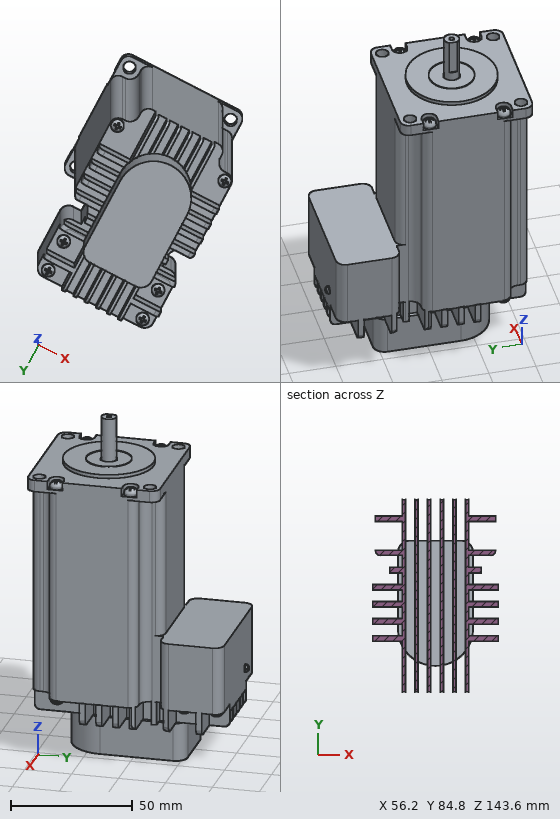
import cadquery as cq
import math

frame = 56.2
half_frame = frame / 2

cup_top = 16.6
vent_top = 23.2
cover_top = 26.7
connector_top = 56.1
total_height = 143.6
shaft_reach = 20.0
flange_thickness = 5.0
flange_top = total_height - shaft_reach
flange_bottom = flange_top - flange_thickness

flange_corner_radius = 3.6
mount_hole_pitch = 47.14
mount_hole_dia = 5.2
pilot_dia = 38.1
pilot_height = 1.6
pilot_recess_dia = 19.0
pilot_recess_depth = 0.3
shaft_bore_dia = 7.0
shaft_bore_depth = 1.0

shaft_dia = 6.35
shaft_flat_length = 15.0
shaft_flat_depth = 0.5
centre_hole_dia = 2.0
centre_hole_depth = 5.0

face_half_width = 15.3
shoulder_radius = 3.6
shoulder_x = face_half_width + shoulder_radius
shoulder_end = half_frame - shoulder_radius
notch_radius = 4.3
notch_centre = shoulder_x + notch_radius

connector_width = 53.4
connector_back = 55.0
connector_corner_radius = 4.0

cover_half_width = 27.8
cover_edge_radius = 2.4
long_fin_count = 6
long_fin_pitch = 5.22
long_fin_thickness = 1.4
outer_fin_x = (long_fin_count - 1) / 2 * long_fin_pitch
roof_half_width = outer_fin_x + long_fin_thickness / 2
side_fin_first_y = -4.2
side_fin_pitch = 7.05
side_fin_thickness = 2.4
side_fin_slots = (0, 1, 2, 3, 4, 5, 7)

cup_radius = 15.55
cup_back = 36.2
cup_corner_radius = 5.0

cross_length_ratio = 1.1
cross_width_ratio = 0.25
cross_floor_ratio = 0.6
screw_x = 25.0
flange_screw_y = 15.8
flange_pocket_radius = 3.2
flange_pocket_depth = 3.5
flange_head_radius = 2.9
flange_head_height = 3.3
head_rim_height = 0.9
cover_head_radius = 2.7
cover_head_height = 2.5
connector_screw_x = 22.0
cover_screw_places = ((screw_x, -15.6), (connector_screw_x, 37.8), (connector_screw_x, 51.5))
ground_screw_x = -11.6
ground_screw_z = 33.2
ground_head_radius = 1.7
ground_head_height = 1.73
ground_rim_height = 0.4

overlap = 0.5


def block(x_range, y_range, z_range):
    """Box between two limits on every axis."""
    lengths = [high - low for low, high in (x_range, y_range, z_range)]
    corner = (x_range[0], y_range[0], z_range[0])
    return cq.Workplane("XY").box(*lengths, centered=False).translate(corner)


def cylinder(diameter, z_low, z_high):
    """Cylinder on the shaft axis."""
    return cq.Workplane("XY").workplane(offset=z_low).circle(diameter / 2).extrude(z_high - z_low)


def screw_head(radius, height, rim_height):
    """Domed screw head with a cross recess, seated on z = 0 and pointing up."""
    dome_height = height - rim_height
    dome_radius = (radius**2 + dome_height**2) / (2 * dome_height)
    half_angle = math.asin(radius / dome_radius) / 2
    middle = (dome_radius * math.sin(half_angle), height - dome_radius * (1 - math.cos(half_angle)))
    head = (
        cq.Workplane("XZ")
        .moveTo(0, -overlap)
        .lineTo(radius, -overlap)
        .lineTo(radius, rim_height)
        .threePointArc(middle, (0, height))
        .close()
        .revolve(360, (0, 0, 0), (0, 1, 0))
    )
    slot_length = cross_length_ratio * radius
    slot_width = cross_width_ratio * radius
    recess_bottom = cross_floor_ratio * height
    for length, width in ((slot_length, slot_width), (slot_width, slot_length)):
        head = head.cut(block((-length / 2, length / 2), (-width / 2, width / 2), (recess_bottom, height)))
    return head


def corner_notch():
    """Clearance at the +X +Y corner of the square body, running down through the cover."""
    diagonal = math.sqrt(0.5)
    shoulder_mid = shoulder_radius * diagonal
    notch_mid = notch_centre - notch_radius * diagonal
    return (
        cq.Workplane("XY")
        .workplane(offset=cup_top)
        .moveTo(face_half_width, half_frame)
        .threePointArc(
            (face_half_width + shoulder_mid, shoulder_end + shoulder_mid), (shoulder_x, shoulder_end)
        )
        .lineTo(shoulder_x, notch_centre)
        .threePointArc((notch_mid, notch_mid), (notch_centre, shoulder_x))
        .lineTo(shoulder_end, shoulder_x)
        .threePointArc(
            (shoulder_end + shoulder_mid, face_half_width + shoulder_mid), (half_frame, face_half_width)
        )
        .lineTo(half_frame, half_frame)
        .close()
        .extrude(flange_bottom - cup_top)
    )


def cut_corner_notches(part):
    notch = corner_notch()
    for quarter in range(4):
        part = part.cut(notch.rotate((0, 0, 0), (0, 0, 1), 90 * quarter))
    return part


def make_body():
    side = (-half_frame, half_frame)
    body = block(side, side, (cover_top, flange_bottom))
    return cut_corner_notches(body)


def make_flange():
    side = (-half_frame, half_frame)
    flange = block(side, side, (flange_bottom, flange_top)).edges("|Z").fillet(flange_corner_radius)
    flange = (
        flange.faces(">Z")
        .workplane(origin=(0, 0, flange_top))
        .rect(mount_hole_pitch, mount_hole_pitch, forConstruction=True)
        .vertices()
        .hole(mount_hole_dia)
    )
    flange = flange.union(cylinder(pilot_dia, flange_top - overlap, flange_top + pilot_height))
    recess_floor = flange_top + pilot_height - pilot_recess_depth
    flange = flange.cut(cylinder(pilot_recess_dia, recess_floor, flange_top + pilot_height))
    return flange.cut(cylinder(shaft_bore_dia, recess_floor - shaft_bore_depth, recess_floor))


def add_flange_screws(part):
    """Screw heads sunk in pockets that open to the -X and +X sides of the flange."""
    pocket_floor = flange_top - flange_pocket_depth
    head = screw_head(flange_head_radius, flange_head_height, head_rim_height)
    for side in (-1, 1):
        for y in (-flange_screw_y, flange_screw_y):
            round_end = cylinder(2 * flange_pocket_radius, pocket_floor, flange_top)
            round_end = round_end.translate((side * screw_x, y, 0))
            mouth_x = tuple(sorted((side * screw_x, side * half_frame)))
            mouth_y = (y - flange_pocket_radius, y + flange_pocket_radius)
            part = part.cut(round_end).cut(block(mouth_x, mouth_y, (pocket_floor, flange_top)))
            part = part.union(head.translate((side * screw_x, y, pocket_floor)))
    return part


def make_shaft():
    radius = shaft_dia / 2
    shaft = cylinder(shaft_dia, flange_bottom, total_height)
    flat = block(
        (-radius, shaft_flat_depth - radius),
        (-radius, radius),
        (total_height - shaft_flat_length, total_height),
    )
    return shaft.cut(flat).cut(cylinder(centre_hole_dia, total_height - centre_hole_depth, total_height))


def make_connector_box():
    half_width = connector_width / 2
    height = (cover_top, connector_top)
    box = block((-half_width, half_width), (half_frame, connector_back), height)
    box = box.edges("|Z").fillet(connector_corner_radius)
    neck = block((-shoulder_x, shoulder_x), (shoulder_end, half_frame + overlap), height)
    return box.union(neck)


def cover_envelope():
    """Outer limits of the cover, rounded along the bottom rim."""
    half_width = connector_width / 2
    height = (cup_top, cover_top)
    under_body = block((-cover_half_width, cover_half_width), (-half_frame, half_frame), height)
    under_body = under_body.edges("|Y and <Z").fillet(cover_edge_radius)
    under_body = under_body.edges("|X and <Z and <Y").fillet(cover_edge_radius)
    under_box = block((-half_width, half_width), (half_frame, connector_back), height)
    under_box = under_box.edges("|Z").fillet(connector_corner_radius)
    under_box = under_box.faces("<Z").edges().fillet(cover_edge_radius)
    middle = block((-roof_half_width, roof_half_width), (-half_frame, connector_back), height)
    middle = middle.edges("|X and <Z").fillet(cover_edge_radius)
    return under_body.union(under_box).union(middle)


def make_cover():
    """Six long fins along Y joined by a roof plate, with short fins reaching out to both sides."""
    length = (-half_frame, connector_back)
    cover = block((-roof_half_width, roof_half_width), length, (vent_top, cover_top))
    for index in range(long_fin_count):
        left = index * long_fin_pitch - roof_half_width
        cover = cover.union(block((left, left + long_fin_thickness), length, (cup_top, cover_top)))
    for slot in side_fin_slots:
        low_y = side_fin_first_y + slot * side_fin_pitch - side_fin_thickness / 2
        fin_y = (low_y, low_y + side_fin_thickness)
        for fin_x in ((-cover_half_width, -outer_fin_x), (outer_fin_x, cover_half_width)):
            cover = cover.union(block(fin_x, fin_y, (cup_top, cover_top)))
    return cut_corner_notches(cover.intersect(cover_envelope()))


def make_cup():
    cup = block((-cup_radius, cup_radius), (0, cup_back), (0, cup_top))
    cup = cup.edges("|Z and >Y").fillet(cup_corner_radius)
    return cup.union(cylinder(2 * cup_radius, 0, cup_top))


def add_cover_screws(part):
    """Screw heads hanging below the body and the connector box, on both sides."""
    head = screw_head(cover_head_radius, cover_head_height, head_rim_height)
    head = head.rotate((0, 0, 0), (1, 0, 0), 180)
    for x, y in cover_screw_places:
        for side in (-1, 1):
            part = part.union(head.translate((side * x, y, cover_top)))
    return part


def make_ground_screw():
    """Small screw head on the back of the connector box."""
    head = screw_head(ground_head_radius, ground_head_height, ground_rim_height)
    head = head.rotate((0, 0, 0), (1, 0, 0), -90)
    return head.translate((ground_screw_x, connector_back, ground_screw_z))


result = make_body().union(make_flange())
result = add_flange_screws(result)
result = result.union(make_shaft())
result = result.union(make_connector_box())
result = result.union(make_cover())
result = result.union(make_cup())
result = add_cover_screws(result)
result = result.union(make_ground_screw())